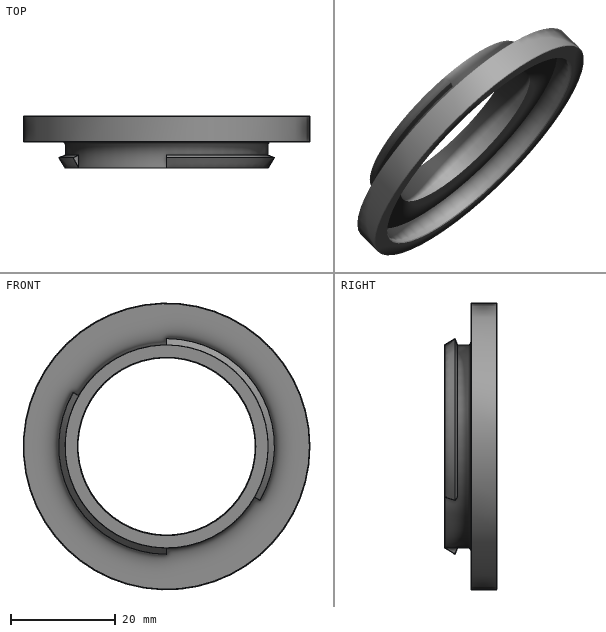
import cadquery as cq

flange_diameter = 55.0
flange_thickness = 5.0
edge_chamfer = 0.1
collar_diameter = 38.95
bore_diameter = 34.0
total_depth = 10.0
recess_diameter = 48.2
recess_mouth_diameter = 48.5
recess_depth = 4.0
root_fillet = 0.5

lug_tip_diameter = 41.35
lug_width = 2.5
lug_tip_setback = 2.0
lug_sweep = 120.0
lug_count = 2

collar_radius = collar_diameter / 2
lug_tip_radius = lug_tip_diameter / 2
collar_length = total_depth - flange_thickness


def make_recess():
    """Cutter for the round recess in the flange back, with a chamfered mouth."""
    recess_radius = recess_diameter / 2
    mouth_radius = recess_mouth_diameter / 2
    mouth_chamfer = mouth_radius - recess_radius
    section = cq.Workplane("XY").polyline([
        (0, 0),
        (mouth_radius, 0),
        (recess_radius, -mouth_chamfer),
        (recess_radius, -recess_depth),
        (0, -recess_depth),
    ]).close()
    return section.revolve(360, (0, 0, 0), (0, 1, 0))


def make_ring():
    """Flange and collar with a common through bore and a recess in the flange back."""
    flange = (
        cq.Workplane("XZ")
        .circle(flange_diameter / 2)
        .extrude(flange_thickness)
        .edges()
        .chamfer(edge_chamfer)
    )
    collar = (
        cq.Workplane("XZ", origin=(0, -flange_thickness, 0))
        .circle(collar_radius)
        .extrude(collar_length)
    )
    body = flange.union(collar)
    root_edge = body.edges("%CIRCLE").edges(cq.selectors.RadiusNthSelector(0)).edges(">Y")
    body = root_edge.fillet(root_fillet)
    bore = cq.Workplane("XZ").circle(bore_diameter / 2).extrude(total_depth)
    body = body.cut(bore)
    body = body.faces("<Y").edges(cq.selectors.RadiusNthSelector(0)).chamfer(edge_chamfer)
    return body.cut(make_recess())


def make_lug(start_angle):
    """One lug, starting start_angle degrees from +X and sweeping toward -Z."""
    profile = (
        cq.Workplane("XY")
        .moveTo(collar_radius, -total_depth)
        .lineTo(lug_tip_radius, -total_depth + lug_tip_setback)
        .lineTo(collar_radius, -total_depth + lug_width)
        .close()
    )
    lug = profile.revolve(lug_sweep, (0, 0, 0), (0, 1, 0))
    return lug.rotate((0, 0, 0), (0, 1, 0), start_angle)


ring = make_ring()

first_lug_angle = -90.0
lugs = [make_lug(first_lug_angle + i * 360 / lug_count) for i in range(lug_count)]

result = cq.Compound.makeCompound([ring.val(), *[lug.val() for lug in lugs]])